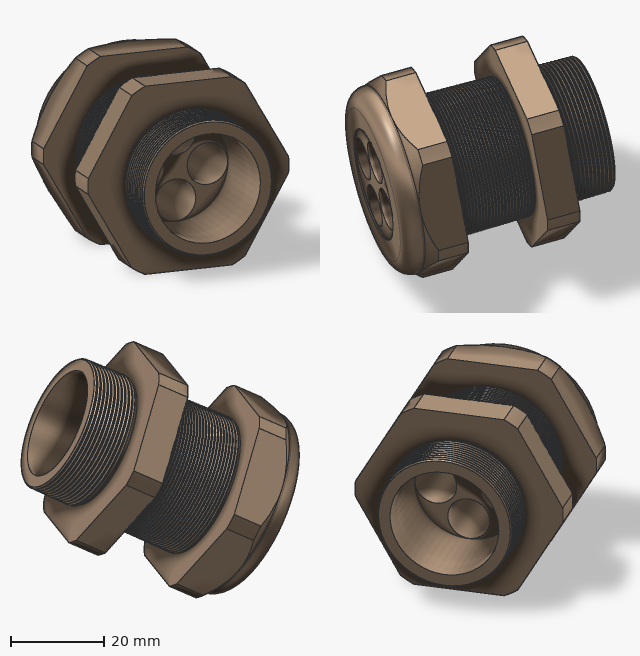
import cadquery as cq
import math


HEAD_END = 13.3
FLANGE_START = 31.35
FLANGE_END = 38.75
LENGTH = 49.8

ACROSS_FLATS = 41.9
ACROSS_CORNERS = 46.5

NOSE_RADIUS = ACROSS_FLATS / 2
NOSE_FILLET = 3.9
NOSE_LENGTH = 4.25

FLAT_SHARE = 0.15

BODY_RINGS = 24
BODY_THREAD_START = 13.65
BODY_CREST_RADII = (15.9, 15.6)
BODY_ROOT_RADII = (15.6, 15.45)

ENTRY_RINGS = 11
ENTRY_THREAD_START = 40.0
ENTRY_CREST_RADII = (15.25, 15.05)
ENTRY_ROOT_RADII = (14.9, 14.75)

RELIEF_RADIUS = 14.5
RELIEF_ARC_START = 38.95
LIP_STATION = 39.6
LIP_RADIUS = 15.1

BORE_RADIUS = 12.15
MOUTH_RADIUS = 12.4
MOUTH_DEPTH = 0.35
INSERT_END = FLANGE_START
CABLE_HOLE_RADIUS = 4.7
CABLE_HOLE_PITCH_RADIUS = 7.35
CABLE_HOLES = 4


def cylinder(start, end, radius):
    """Cylinder around the X axis between two stations."""
    return cq.Workplane("YZ", origin=(start, 0, 0)).circle(radius).extrude(end - start)


def rounded_hexagon(start, end):
    """Hexagonal prism whose corners are cut to a cylinder."""
    vertex_diameter = ACROSS_FLATS / math.cos(math.pi / 6)
    prism = cq.Workplane("YZ", origin=(start, 0, 0)).polygon(6, vertex_diameter).extrude(end - start)
    return prism.intersect(cylinder(start, end, ACROSS_CORNERS / 2))


def head():
    """Hexagonal head with a 45 degree cone running down to a domed round nose."""
    corner_radius = ACROSS_CORNERS / 2
    cone_end = NOSE_LENGTH + corner_radius - NOSE_RADIUS
    cone_envelope = (
        cq.Workplane("XY")
        .moveTo(NOSE_LENGTH, 0)
        .lineTo(NOSE_LENGTH, NOSE_RADIUS)
        .lineTo(cone_end, corner_radius)
        .lineTo(HEAD_END, corner_radius)
        .lineTo(HEAD_END, 0)
        .close()
        .revolve(360, (0, 0, 0), (1, 0, 0))
    )
    hexagon = rounded_hexagon(NOSE_LENGTH, HEAD_END).intersect(cone_envelope)
    nose = cylinder(0, NOSE_LENGTH, NOSE_RADIUS).faces("<X").edges().fillet(NOSE_FILLET)
    return nose.union(hexagon)


def ringed_section(start, end, rings, crest_radii, root_radii):
    """Round bar with closed rings, each radius running linearly from start to end."""
    pitch = (end - start) / rings
    half_flat = FLAT_SHARE / 2

    def point(position, radii):
        fraction = position / rings
        return start + position * pitch, radii[0] + (radii[1] - radii[0]) * fraction

    outline = [(start, 0), point(0, root_radii)]
    for ring in range(rings):
        outline.append(point(ring + half_flat, root_radii))
        outline.append(point(ring + 0.5 - half_flat, crest_radii))
        outline.append(point(ring + 0.5 + half_flat, crest_radii))
        outline.append(point(ring + 1 - half_flat, root_radii))
    outline += [point(rings, root_radii), (end, 0)]
    return cq.Workplane("XY").polyline(outline).close().revolve(360, (0, 0, 0), (1, 0, 0))


def body_thread():
    """Threaded section between the head and the flange, plain next to the head."""
    plain = cylinder(HEAD_END, BODY_THREAD_START, BODY_ROOT_RADII[0])
    thread = ringed_section(
        BODY_THREAD_START, FLANGE_START, BODY_RINGS, BODY_CREST_RADII, BODY_ROOT_RADII
    )
    return plain.union(thread)


def thread_relief():
    """Concave relief next to the flange, rising to a lip and falling to the first thread root."""
    return (
        cq.Workplane("XY")
        .moveTo(FLANGE_END, 0)
        .lineTo(FLANGE_END, RELIEF_RADIUS)
        .lineTo(RELIEF_ARC_START, RELIEF_RADIUS)
        .tangentArcPoint((LIP_STATION, LIP_RADIUS), relative=False)
        .lineTo(ENTRY_THREAD_START, ENTRY_ROOT_RADII[0])
        .lineTo(ENTRY_THREAD_START, 0)
        .close()
        .revolve(360, (0, 0, 0), (1, 0, 0))
    )


def entry_thread():
    """Threaded end beyond the flange, starting from the relief."""
    thread = ringed_section(
        ENTRY_THREAD_START, LENGTH, ENTRY_RINGS, ENTRY_CREST_RADII, ENTRY_ROOT_RADII
    )
    return thread_relief().union(thread)


def make_housing():
    """Head, threads and flange in one piece, bored through with a wider mouth."""
    flange = rounded_hexagon(FLANGE_START, FLANGE_END)
    solid = head().union(body_thread()).union(flange).union(entry_thread())
    solid = solid.cut(cylinder(0, LENGTH, BORE_RADIUS))
    return solid.cut(cylinder(0, MOUTH_DEPTH, MOUTH_RADIUS))


def make_insert():
    """Sealing insert filling the bore, pierced by a ring of cable holes."""
    holes = (
        cq.Workplane("YZ", origin=(MOUTH_DEPTH, 0, 0))
        .polarArray(CABLE_HOLE_PITCH_RADIUS, 0, 360, CABLE_HOLES)
        .circle(CABLE_HOLE_RADIUS)
        .extrude(INSERT_END - MOUTH_DEPTH)
    )
    return cylinder(MOUTH_DEPTH, INSERT_END, BORE_RADIUS).cut(holes)


housing = make_housing()
insert = make_insert()

result = cq.Compound.makeCompound([housing.solids().val(), insert.solids().val()])